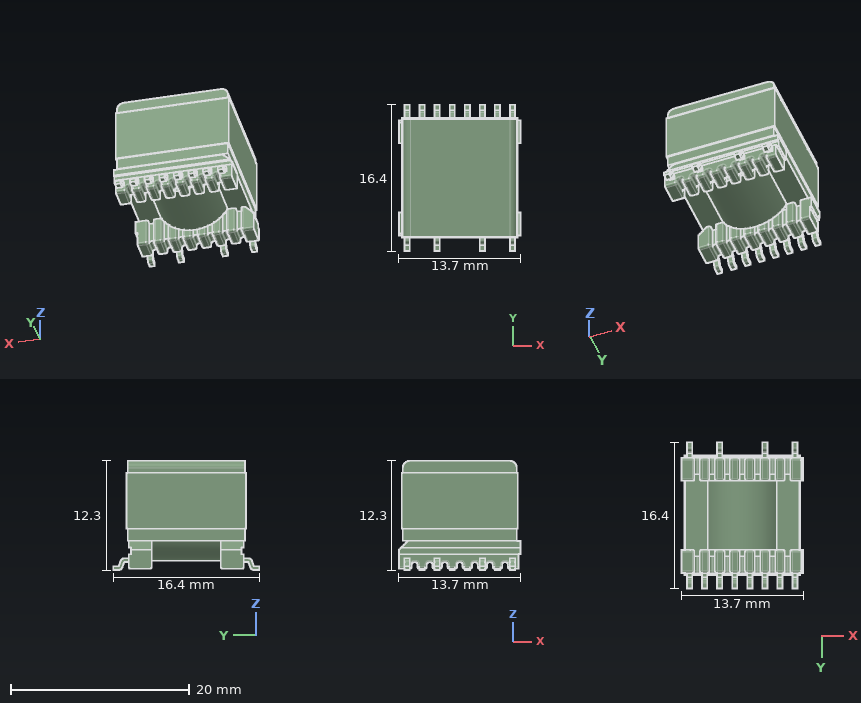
import cadquery as cq
import math

core_x = 12.8
core_y = 13.17
core_bottom = 3.27
core_top = 12.27
core_radius = 0.82

band_x = 13.05
band_y = 13.43
band_bottom = 4.65
band_top = 10.89

winding_radius = 4.43
winding_bottom = 1.03

rail_length = 13.65
rail_outer_y = 6.47
rail_inner_y = 3.86
rail_bottom = 0.13
rail_chamfer = 1.0
rail_fillet = 0.25
edge_fillet = 0.23
end_step = 0.23
groove_depth = 0.26
groove_bottom = 1.77
groove_top = 2.51

pin_count = 8
pin_span = 11.82
pin_width = 0.6
pin_thickness = 0.45
pin_top = 1.33
pin_tip_y = 8.21
pin_heel_y = 7.59
pin_slope = math.radians(70)
pin_embed = 0.33
front_pins = (0, 2, 5, 7)

gap_width = 0.6
gap_top = 0.87
gap_radius = 0.25
slot_end_y = 4.6

pin_pitch = pin_span / (pin_count - 1)
pin_places = [i * pin_pitch - pin_span / 2 for i in range(pin_count)]
gap_places = [x + pin_pitch / 2 for x in pin_places[:-1]]
rail_end = rail_length / 2
rail_width = rail_outer_y - rail_inner_y


def block(x_size, y_size, bottom, top):
    """Box centred on the Z axis between two heights."""
    return cq.Workplane("XY", origin=(0, 0, bottom)).rect(x_size, y_size).extrude(top - bottom)


def make_core():
    core = block(core_x, core_y, core_bottom, core_top).edges("|Y and >Z").fillet(core_radius)
    return core.union(block(band_x, band_y, band_bottom, band_top))


def make_winding():
    """Part of the winding between the rails, up to the middle of its cylinder."""
    axis_z = winding_bottom + winding_radius
    return (
        cq.Workplane("XZ", origin=(0, rail_inner_y, 0))
        .moveTo(-winding_radius, axis_z)
        .threePointArc((0, winding_bottom), (winding_radius, axis_z))
        .close()
        .extrude(2 * rail_inner_y)
    )


def face_edges(y, top):
    """Selector for the -Y rail's edges in the face at -y, centred below top and off the rail's ends."""
    slack = 0.02
    reach = rail_end - end_step - slack
    return cq.selectors.BoxSelector((-reach, -y - slack, 0), (reach, -y + slack, top))


def make_rail():
    """Rail on the -Y side, with toothed underside and a groove along its outer face."""
    outline = (
        cq.Workplane("XZ", origin=(0, -rail_inner_y, 0))
        .moveTo(-rail_end, rail_bottom)
        .lineTo(-rail_end, core_bottom - rail_chamfer)
        .lineTo(-rail_end + rail_chamfer, core_bottom)
        .lineTo(rail_end, core_bottom)
        .lineTo(rail_end, groove_bottom)
        .lineTo(rail_end - end_step, groove_bottom)
        .lineTo(rail_end - end_step, rail_bottom)
    )
    half_gap = gap_width / 2
    for gap_x in reversed(gap_places):
        outline = (
            outline.lineTo(gap_x + half_gap + rail_fillet, rail_bottom)
            .radiusArc((gap_x + half_gap, rail_bottom + rail_fillet), rail_fillet)
            .lineTo(gap_x + half_gap, gap_top - gap_radius)
            .radiusArc((gap_x + half_gap - gap_radius, gap_top), -gap_radius)
            .lineTo(gap_x - half_gap + gap_radius, gap_top)
            .radiusArc((gap_x - half_gap, gap_top - gap_radius), -gap_radius)
            .lineTo(gap_x - half_gap, rail_bottom + rail_fillet)
            .radiusArc((gap_x - half_gap - rail_fillet, rail_bottom), rail_fillet)
        )
    rail = outline.close().extrude(rail_width)

    slots = (
        cq.Workplane("XY", origin=(0, 0, rail_bottom + rail_fillet))
        .pushPoints([(x, -rail_inner_y) for x in gap_places])
        .rect(gap_width, 2 * (slot_end_y - rail_inner_y))
        .extrude(core_bottom - rail_bottom)
    )
    rail = rail.cut(slots)

    rail = rail.edges(face_edges(rail_inner_y, core_bottom - rail_chamfer)).fillet(edge_fillet)
    rail = rail.edges(face_edges(rail_outer_y, groove_bottom - rail_fillet)).fillet(edge_fillet)

    groove = (
        cq.Workplane("XY", origin=(0, -rail_outer_y, groove_bottom))
        .rect(2 * rail_length, 2 * groove_depth)
        .extrude(groove_top - groove_bottom)
    )
    return rail.cut(groove)


def make_pin(x):
    """Pin on the -Y side; outer bends are round about the sharp inner corners."""
    t = pin_thickness
    shoulder_z = pin_top - t
    shoulder_y = pin_heel_y - (t + (shoulder_z - t) * math.cos(pin_slope)) / math.sin(pin_slope)
    root_y = rail_outer_y - pin_embed

    def bend(angle):
        return t * math.sin(angle), t * math.cos(angle)

    mid_y, mid_z = bend(pin_slope / 2)
    end_y, end_z = bend(pin_slope)
    profile = (
        cq.Workplane(cq.Plane(origin=(x - pin_width / 2, 0, 0), xDir=(0, -1, 0), normal=(-1, 0, 0)))
        .moveTo(root_y, shoulder_z)
        .lineTo(root_y, pin_top)
        .lineTo(shoulder_y, pin_top)
        .threePointArc(
            (shoulder_y + mid_y, shoulder_z + mid_z),
            (shoulder_y + end_y, shoulder_z + end_z),
        )
        .lineTo(pin_heel_y, t)
        .lineTo(pin_tip_y, t)
        .lineTo(pin_tip_y, 0)
        .lineTo(pin_heel_y, 0)
        .threePointArc((pin_heel_y - mid_y, t - mid_z), (pin_heel_y - end_y, t - end_z))
        .lineTo(shoulder_y, shoulder_z)
        .close()
    )
    return profile.extrude(-pin_width)


rail = make_rail()
result = make_core().union(make_winding())
result = result.union(rail).union(rail.mirror("XZ"))
for index, x in enumerate(pin_places):
    pin = make_pin(x)
    result = result.union(pin.mirror("XZ"))
    if index in front_pins:
        result = result.union(pin)